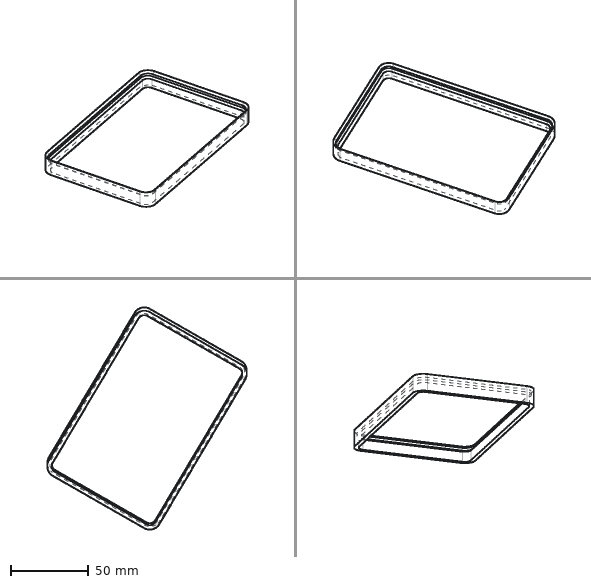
import cadquery as cq

width = 83.0
length = 125.0
height = 11.5
corner_radius = 7.2

rim_slope = 1.6
step_height = 1.8
ledge_slope = 1.4
slope_taper = 45

step_top = height - rim_slope
ledge_top = step_top - step_height
ledge_bottom = ledge_top - ledge_slope


def rounded_block(inset, bottom, top, taper=0):
    """Block with the frame's rounded outline moved inward by inset, extruded upward from bottom to top."""
    outline = cq.Sketch().rect(width - 2 * inset, length - 2 * inset)
    outline = outline.vertices().fillet(corner_radius - inset)
    return cq.Workplane("XY", origin=(0, 0, bottom)).placeSketch(outline).extrude(top - bottom, taper=taper)


opening = rounded_block(rim_slope + ledge_slope, 0, ledge_bottom)
opening = opening.union(rounded_block(rim_slope + ledge_slope, ledge_bottom, ledge_top, -slope_taper))
opening = opening.union(rounded_block(rim_slope, ledge_top, step_top))
opening = opening.union(rounded_block(rim_slope, step_top, height, -slope_taper))

result = rounded_block(0, 0, height).cut(opening)